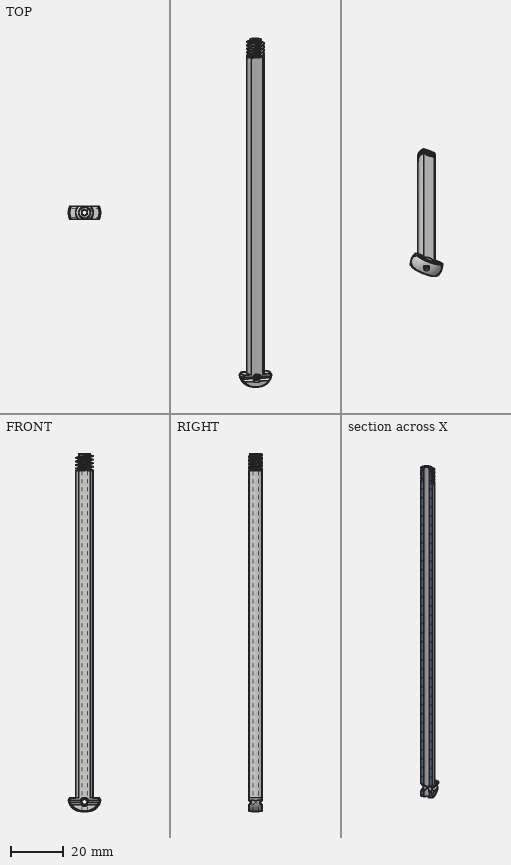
import cadquery as cq

total_length = 135.0
flat_thickness = 5.0
head_diameter = 12.1
shaft_diameter = 6.6
bore_diameter = 2.0

rim_height = 4.3
head_height = 5.1
rim_setback = 0.5

groove_height = 3.4
groove_width = 1.8
groove_depth = 0.8
hole_height = 3.6
hole_diameter = 2.0
hole_mouth_diameter = 3.2
mouth_depth = groove_depth

thread_length = 6.3
thread_pitch = 1.3
thread_root_diameter = 4.3
thread_base_width = 0.8
root_overlap = 0.1
thread_lead_in = 1.2
thread_turns = 5.3

shaft_top = total_length - thread_length
head_radius = 0.5 * head_diameter
bore_radius = 0.5 * bore_diameter
root_radius = 0.5 * thread_root_diameter
shaft_radius = 0.5 * shaft_diameter
half_thickness = 0.5 * flat_thickness


def make_head():
    """Mushroom head: a dome rising tangentially from a flat bottom, below a chamfered rim."""
    return (
        cq.Workplane("XZ")
        .lineTo(bore_radius, 0)
        .tangentArcPoint((head_radius, rim_height), relative=False)
        .lineTo(head_radius - rim_setback, head_height)
        .lineTo(0, head_height)
        .close()
        .revolve(360, (0, 0, 0), (0, 1, 0))
    )


def make_shaft():
    """Plain round shaft running from inside the head up to the thread."""
    return (
        cq.Workplane("XY", origin=(0, 0, rim_height))
        .circle(shaft_radius)
        .extrude(shaft_top - rim_height)
    )


def make_threaded_end():
    """Right-hand helical ridge on a root cylinder, trimmed square at both ends."""
    helix_start = shaft_top - thread_lead_in
    helix_length = thread_turns * thread_pitch
    inner_radius = root_radius - root_overlap
    helix = cq.Wire.makeHelix(thread_pitch, helix_length, inner_radius, cq.Vector(0, 0, helix_start))
    ridge = (
        cq.Workplane("XZ", origin=(0, 0, helix_start))
        .moveTo(inner_radius, -0.5 * thread_base_width)
        .lineTo(shaft_radius, 0)
        .lineTo(inner_radius, 0.5 * thread_base_width)
        .close()
        .sweep(cq.Workplane(obj=helix), isFrenet=True)
    )
    envelope = cq.Workplane("XY", origin=(0, 0, shaft_top)).circle(head_radius).extrude(thread_length)
    root = cq.Workplane("XY", origin=(0, 0, rim_height)).circle(root_radius)
    root = root.extrude(total_length - rim_height)
    return root.union(ridge.intersect(envelope))


def make_grooves():
    """V-grooves along X in the two flat sides of the head."""
    groove = (
        cq.Workplane("YZ", origin=(-head_radius, 0, groove_height))
        .moveTo(half_thickness, -0.5 * groove_width)
        .lineTo(half_thickness - groove_depth, 0)
        .lineTo(half_thickness, 0.5 * groove_width)
        .close()
        .extrude(head_diameter)
    )
    return groove.union(groove.mirror("XZ"))


def make_cross_hole():
    """Hole along Y with a conical mouth at each flat side."""
    mouth_radius = 0.5 * hole_mouth_diameter
    hole_radius = 0.5 * hole_diameter
    throat = half_thickness - mouth_depth
    return (
        cq.Workplane("XY", origin=(0, 0, hole_height))
        .polyline(
            [
                (0, -half_thickness),
                (mouth_radius, -half_thickness),
                (hole_radius, -throat),
                (hole_radius, throat),
                (mouth_radius, half_thickness),
                (0, half_thickness),
            ]
        )
        .close()
        .revolve(360, (0, 0, 0), (0, 1, 0))
    )


flats = cq.Workplane("XY").box(head_diameter, flat_thickness, total_length, centered=(True, True, False))
bore = cq.Workplane("XY").circle(bore_radius).extrude(total_length)

result = (
    make_head()
    .union(make_shaft())
    .union(make_threaded_end())
    .intersect(flats)
    .cut(make_grooves())
    .cut(make_cross_hole())
    .cut(bore)
)